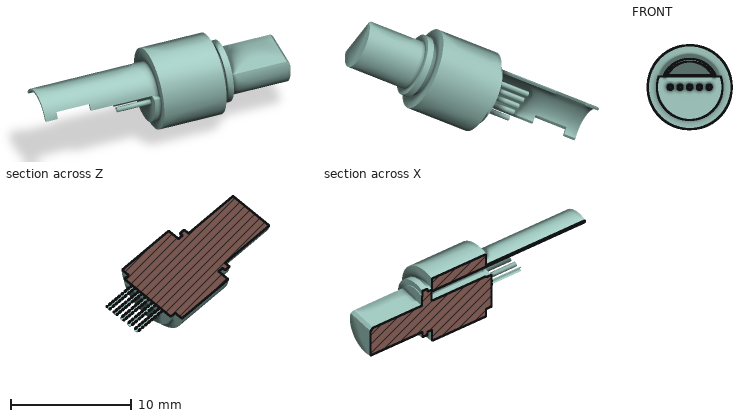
import cadquery as cq

SHELL_FRONT = 0.0
PIN_FRONT = 6.5
INSERT_FRONT = 9.5
BARREL_FRONT = 10.03
BARREL_BACK = 15.57
FLANGE_FRONT = 16.0
FLANGE_BACK = 16.55
LIP_BACK = 16.61
TIP_BACK = 21.8

BARREL_RADIUS = 3.499
FLANGE_RADIUS = 2.65
INSERT_RADIUS = 2.72
TUBE_RADIUS = 2.35
CORE_RADIUS = 2.14

INSERT_FLAT = 0.9
TIP_FLAT = 0.95
SHELL_EDGE = 1.0
TIP_CHAMFER = 0.26

NOTCH_FRONT = 1.07
NOTCH_BACK = 4.01
NOTCH_TOP = 1.5

PIN_COUNT = 5
PIN_PITCH = 0.8
PIN_RADIUS = 0.22
PIN_BORE_RADIUS = 0.13


def rod(radius, front, back, x=0.0):
    """Round bar along Y between two stations."""
    return cq.Workplane("XZ", origin=(x, front, 0)).circle(radius).extrude(front - back)


def slab(half_width, front, back, bottom, top):
    """Block centred on X between two stations and two heights."""
    size = (2 * half_width, back - front, top - bottom)
    return cq.Workplane("XY").box(*size, centered=(True, False, False)).translate((0, front, bottom))


def flat_topped_rod(radius, front, back, flat):
    """Round bar along Y with everything above the flat removed."""
    return rod(radius, front, back).intersect(slab(radius, front, back, -radius, flat))


def segment_rod(radius, front, back, floor):
    """Part of a round bar along Y that lies above the floor height."""
    return rod(radius, front, back).intersect(slab(radius, front, back, floor, radius))


def make_housing():
    barrel = rod(BARREL_RADIUS, BARREL_FRONT, BARREL_BACK)
    neck = rod(TUBE_RADIUS, BARREL_BACK, FLANGE_FRONT)
    flange = rod(FLANGE_RADIUS, FLANGE_FRONT, FLANGE_BACK)
    lip = rod(CORE_RADIUS, FLANGE_BACK, LIP_BACK)
    return barrel.union(neck).union(flange).union(lip)


def make_shell():
    shell = segment_rod(TUBE_RADIUS, SHELL_FRONT, BARREL_FRONT, SHELL_EDGE)
    return shell.cut(slab(TUBE_RADIUS, NOTCH_FRONT, NOTCH_BACK, 0, NOTCH_TOP))


def make_tip():
    tip = flat_topped_rod(CORE_RADIUS, FLANGE_BACK, TIP_BACK, TIP_FLAT)
    return tip.edges(">Y and >Z").chamfer(TIP_CHAMFER)


def make_pins():
    pins = cq.Workplane("XY")
    for index in range(PIN_COUNT):
        x = (index - (PIN_COUNT - 1) / 2) * PIN_PITCH
        pin = rod(PIN_RADIUS, PIN_FRONT, INSERT_FRONT, x)
        pins = pins.add(pin.cut(rod(PIN_BORE_RADIUS, PIN_FRONT, INSERT_FRONT, x)))
    return pins.combine()


insert = flat_topped_rod(INSERT_RADIUS, INSERT_FRONT, BARREL_FRONT, INSERT_FLAT)
hollow = segment_rod(CORE_RADIUS, SHELL_FRONT, BARREL_BACK, SHELL_EDGE)

result = make_housing().union(make_shell()).cut(hollow)
result = result.union(insert).union(make_pins()).union(make_tip())